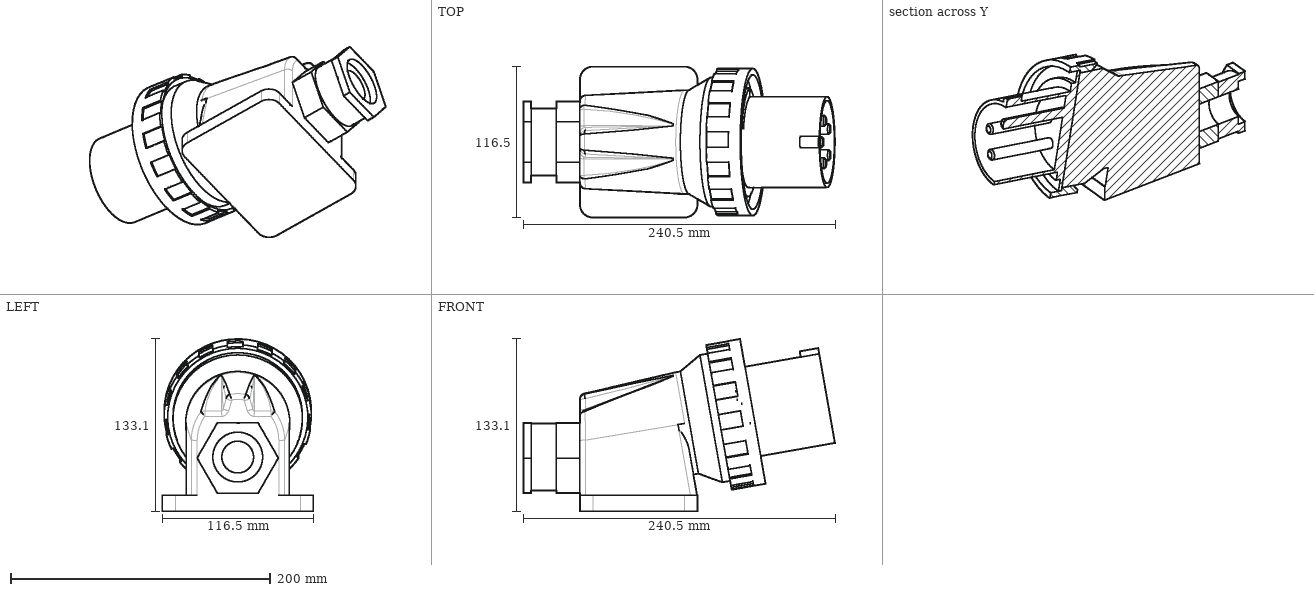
import cadquery as cq
import math


flange_length = 90.9
flange_width = 116.5
flange_height = 12.5
flange_corner_radius = 10.0
rear_arch_radius = 35.8
rear_arch_height = 54.3
front_fillet = 4.5
heel_radius = 5.0

tilt = 10.0
elbow_x = 80.8
elbow_z = 67.8
elbow_radius = 40.1
collar_radius = 50.0
cone_start = 3.8
cone_end = 21.0
plug_end = 111.8

groove_length = 74.5
groove_floor = 76.5
groove_tip_height = 105.3
arch_height_at_tip = 67.3
flank_foot = 11.8
flank_foot_at_tip = 12.7
flank_lean = 17.0
groove_edge_radius = 5.8
groove_foot_radius = 1.5
groove_clearance = 0.35
groove_stations = (0, 0.5, 0.97)

ring_start = 27.0
ring_length = 26.7
ring_end = ring_start + ring_length
ring_radius = 56.85
ring_front_bore = 52.0
ring_entry_radius = 54.0
ring_entry_depth = 4.0
pocket_count = 15
pocket_width = 12.0
pocket_length = 17.3
pocket_depth = 1.5
pocket_offset_angle = 2.0

insert_flange_thickness = 3.0
insert_flange_end = ring_end - 7.5
hub_radius = 42.0
hub_end = ring_end - 3.5
cam_end = ring_end - 1.5
cam_start_angle = 17.0
cam_end_angle = 80.0
shroud_radius = 35.0
shroud_bore = 32.0
shroud_length = plug_end - ring_end
pin_count = 5
pin_radius = 4.2
pin_circle_radius = 17.2
pin_chamfer = 1.5
key_radius = 4.3
key_length = 14.7

hex_flats = 54.3
hex_height = 41.0
bore_height = 41.8
gland_length = 43.5
gland_body_length = 18.0
nut_head_length = 6.0
neck_radius = 26.0
nut_recess_radius = 19.2
cable_radius = 12.3


def plug_plane(distance):
    """Plane across the plug axis: local x is +Y, local y points up."""
    angle = math.radians(tilt)
    axis = cq.Vector(math.cos(angle), 0, math.sin(angle))
    origin = cq.Vector(elbow_x, 0, elbow_z) + axis * distance
    return cq.Plane(origin=origin, xDir=(0, 1, 0), normal=axis)


def plug_cylinder(start, end, radius):
    return cq.Workplane(plug_plane(start)).circle(radius).extrude(end - start)


def cross_plane(x):
    """Plane facing +X: local x is +Y, local y is +Z."""
    return cq.Plane(origin=(x, 0, 0), xDir=(0, 1, 0), normal=(1, 0, 0))



def half_disc(plane, centre_height, radius):
    return (
        cq.Workplane(plane)
        .moveTo(-radius, centre_height)
        .threePointArc((0, centre_height + radius), (radius, centre_height))
        .close()
        .val()
    )


def leg_outline(plane, top, bottom, half_width):
    return (
        cq.Workplane(plane)
        .polyline([(-half_width, bottom), (half_width, bottom), (half_width, top), (-half_width, top)])
        .close()
        .val()
    )


def make_roof():
    rear = half_disc(cross_plane(0), rear_arch_height, rear_arch_radius)
    elbow = half_disc(plug_plane(0), 0, elbow_radius)
    return cq.Workplane(cq.Solid.makeLoft([rear, elbow], True))


def make_pedestal():
    elbow_drop = (elbow_z - flange_height) / math.cos(math.radians(tilt))
    rear = leg_outline(cross_plane(0), rear_arch_height, flange_height, rear_arch_radius)
    elbow = leg_outline(plug_plane(0), 0, -elbow_drop, elbow_radius)
    pedestal = cq.Workplane(cq.Solid.makeLoft([rear, elbow], True))
    heel_edges = cq.selectors.BoxSelector(
        (elbow_x - 2.5, -flange_width, flange_height + 2.5),
        (flange_length, flange_width, elbow_z - 2.5),
    )
    return pedestal.edges(heel_edges).fillet(heel_radius)


def polar_point(centre, radius, angle):
    return (centre[0] + radius * math.cos(angle), centre[1] + radius * math.sin(angle))


def arc_points(centre, radius, start, end):
    """Start, middle and end of an arc between two directions in radians."""
    return [polar_point(centre, radius, angle) for angle in (start, (start + end) / 2, end)]


def between(start, end, fraction):
    return start + (end - start) * fraction


def groove_section(side, fraction):
    """Groove outline at a fraction of the way from the cable side (0) to the groove tip (1)."""
    remaining = 1 - fraction
    lean = math.radians(flank_lean)
    edge_radius = groove_edge_radius * (1 - fraction ** 2)
    foot_radius = groove_foot_radius * remaining
    arch = (0, between(rear_arch_height, arch_height_at_tip, fraction))
    arch_radius = between(rear_arch_radius, elbow_radius, fraction)
    floor = between(groove_floor, groove_tip_height, fraction)
    foot_y = between(flank_foot, flank_foot_at_tip, fraction)

    rim_radius = arch_radius + groove_clearance * remaining
    centre_radius = rim_radius - edge_radius

    across = (foot_y * math.cos(lean)) - (arch[1] - floor) * math.sin(lean) - edge_radius
    rib_angle = lean + math.acos(across / centre_radius)
    rib_arc = arc_points(polar_point(arch, centre_radius, rib_angle), edge_radius, rib_angle, lean)

    foot_centre = (
        foot_y + foot_radius * (1 - math.sin(lean)) / math.cos(lean),
        floor + foot_radius,
    )
    foot_arc = arc_points(foot_centre, foot_radius, math.pi + lean, 1.5 * math.pi)

    side_angle = math.asin((floor - edge_radius - arch[1]) / centre_radius)
    side_centre = polar_point(arch, centre_radius, side_angle)
    side_arc = arc_points(side_centre, edge_radius, math.pi / 2, side_angle)

    outside = polar_point(arch, 1.5 * arch_radius, (rib_angle + side_angle) / 2)
    rib_arc, foot_arc, side_arc, [outside] = (
        [(side * y, z) for y, z in points] for points in (rib_arc, foot_arc, side_arc, [outside])
    )
    return (
        cq.Workplane(cross_plane(groove_length * fraction))
        .moveTo(*rib_arc[0])
        .threePointArc(*rib_arc[1:])
        .lineTo(*foot_arc[0])
        .threePointArc(*foot_arc[1:])
        .lineTo(*side_arc[0])
        .threePointArc(*side_arc[1:])
        .lineTo(*outside)
        .close()
        .val()
    )


def make_groove(side):
    sections = [groove_section(side, fraction) for fraction in groove_stations]
    return cq.Workplane(cq.Solid.makeLoft(sections))


def make_flange():
    return (
        cq.Workplane("XY")
        .rect(flange_length, flange_width)
        .extrude(flange_height)
        .edges("|Z")
        .fillet(flange_corner_radius)
        .translate((flange_length / 2, 0, 0))
    )


def make_collar():
    """Short neck, cone and cylinder turned about the plug axis."""
    collar_end = insert_flange_end - insert_flange_thickness
    profile = [
        (0, 0),
        (elbow_radius, 0),
        (elbow_radius, cone_start),
        (collar_radius, cone_end),
        (collar_radius, collar_end),
        (0, collar_end),
    ]
    elbow = plug_plane(0)
    axial = cq.Plane(origin=elbow.origin, xDir=elbow.yDir, normal=elbow.xDir)
    return cq.Workplane(axial).polyline(profile).close().revolve(360, (0, 0, 0), (0, 1, 0))


def make_neck_root():
    """Lower half of the neck, carried back to where the heel roundings begin."""
    return (
        cq.Workplane(plug_plane(-heel_radius))
        .moveTo(-elbow_radius, 0)
        .threePointArc((0, -elbow_radius), (elbow_radius, 0))
        .close()
        .extrude(heel_radius)
    )


def make_housing():
    housing = make_roof().union(make_pedestal()).clean()
    for side in (1, -1):
        housing = housing.cut(make_groove(side))
    face_edges = housing.faces("<X").edges().edges(
        cq.selectors.BoxSelector((-2.5, -flange_width, flange_height + 2.5), (2.5, flange_width, 240.5))
    )
    housing = face_edges.fillet(front_fillet)
    return housing.union(make_neck_root()).union(make_collar()).union(make_flange())



def make_ring():
    ring = plug_cylinder(ring_start, ring_end, ring_radius)
    ring = ring.cut(plug_cylinder(ring_start, ring_end, collar_radius))
    ring = ring.cut(plug_cylinder(insert_flange_end - insert_flange_thickness, ring_end, ring_front_bore))
    entry = cq.Solid.makeCone(
        ring_entry_radius,
        collar_radius,
        ring_entry_depth,
        pnt=plug_plane(ring_start).origin,
        dir=plug_plane(ring_start).zDir,
    )
    ring = ring.cut(cq.Workplane(entry))
    floor_radius = ring_radius - pocket_depth
    band = plug_cylinder(ring_start, ring_start + pocket_length, ring_radius + 2.5)
    band = band.cut(plug_cylinder(ring_start, ring_start + pocket_length, floor_radius))
    for index in range(pocket_count):
        angle = pocket_offset_angle + index * 360 / pocket_count
        bar = (
            cq.Workplane(plug_plane(ring_start).rotated((0, 0, -angle)))
            .center(0, ring_radius)
            .rect(pocket_width, ring_radius)
            .extrude(pocket_length)
        )
        ring = ring.cut(bar.intersect(band))
    return ring



def make_cam():
    """Raised sector of the hub around one side of the shroud."""
    def wedge_corner(angle):
        reach = 2 * hub_radius
        return (reach * math.sin(math.radians(angle)), reach * math.cos(math.radians(angle)))
    wedge = (
        cq.Workplane(plug_plane(insert_flange_end))
        .polyline([(0, 0), wedge_corner(cam_start_angle), wedge_corner(cam_end_angle)])
        .close()
        .extrude(cam_end - insert_flange_end)
    )
    return wedge.intersect(plug_cylinder(insert_flange_end, cam_end, hub_radius))


def make_insert():
    flange_start = insert_flange_end - insert_flange_thickness
    insert = plug_cylinder(flange_start, insert_flange_end, ring_front_bore)
    hub = plug_cylinder(insert_flange_end, cam_end, hub_radius)
    recess = plug_cylinder(hub_end, cam_end, hub_radius).cut(make_cam())
    insert = insert.union(hub.cut(recess))
    insert = insert.union(plug_cylinder(flange_start, plug_end, shroud_radius))
    key = (
        cq.Workplane(plug_plane(plug_end - key_length))
        .center(0, shroud_radius)
        .circle(key_radius)
        .extrude(key_length)
    )
    insert = insert.union(key).cut(plug_cylinder(ring_end, plug_end, shroud_bore))
    pins = (
        cq.Workplane(plug_plane(ring_end))
        .polarArray(pin_circle_radius, 90, 360, pin_count)
        .circle(pin_radius)
        .extrude(shroud_length)
        .faces(cq.selectors.DirectionMinMaxSelector(plug_plane(0).zDir))
        .chamfer(pin_chamfer)
    )
    return insert.union(pins)



def gland_hex(start, length):
    return (
        cq.Workplane(cross_plane(start))
        .center(0, hex_height)
        .transformed(rotate=(0, 0, 30))
        .polygon(6, hex_flats, circumscribed=True)
        .extrude(length)
    )


def gland_cylinder(start, length, radius):
    return cq.Workplane(cross_plane(start)).center(0, bore_height).circle(radius).extrude(length)


def make_gland_body():
    body = gland_hex(-gland_body_length, gland_body_length)
    return body.cut(gland_cylinder(-gland_body_length, gland_body_length, cable_radius))


def make_gland_nut():
    nut_length = gland_length - gland_body_length
    nut = gland_hex(-gland_length, nut_head_length)
    nut = nut.union(gland_cylinder(-gland_length + nut_head_length, nut_length - nut_head_length, neck_radius))
    nut = nut.cut(gland_cylinder(-gland_length, nut_length, cable_radius))
    return nut.cut(gland_cylinder(-gland_length, nut_head_length, nut_recess_radius))


housing = make_housing()
gland_body = make_gland_body()
gland_nut = make_gland_nut()
locking_ring = make_ring()
plug_insert = make_insert()

result = cq.Compound.makeCompound([
    housing.val(),
    gland_body.val(),
    gland_nut.val(),
    locking_ring.val(),
    plug_insert.val(),
])